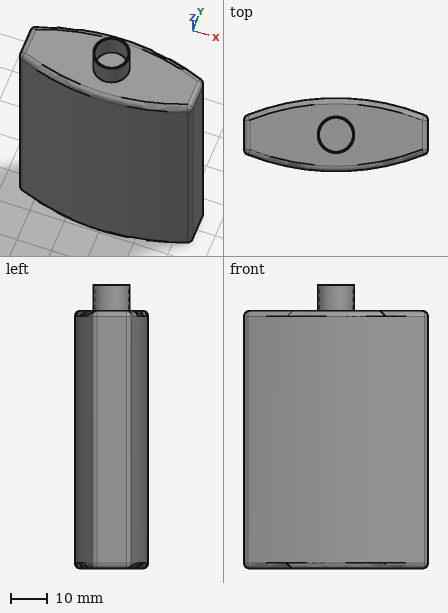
import cadquery as cq

total_height = 77.0
body_height = 70.0
body_width = 50.0
body_depth = 20.0
end_depth = 10.0
edge_radius = 1.55
neck_diameter = 10.0
bore_diameter = 9.2

neck_height = total_height - body_height


def make_body():
    """Flask body with two bulged faces, flat ends and all edges rounded."""
    half_width = body_width / 2
    half_depth = body_depth / 2
    half_end = end_depth / 2
    body = (
        cq.Workplane("XY")
        .moveTo(-half_width, -half_end)
        .threePointArc((0, -half_depth), (half_width, -half_end))
        .lineTo(half_width, half_end)
        .threePointArc((0, half_depth), (-half_width, half_end))
        .close()
        .extrude(body_height)
    )
    return body.edges().fillet(edge_radius)


def make_neck():
    """Thin-walled open tube standing on top of the body."""
    return (
        cq.Workplane("XY", origin=(0, 0, body_height))
        .circle(neck_diameter / 2)
        .circle(bore_diameter / 2)
        .extrude(neck_height)
    )


result = make_body().union(make_neck())